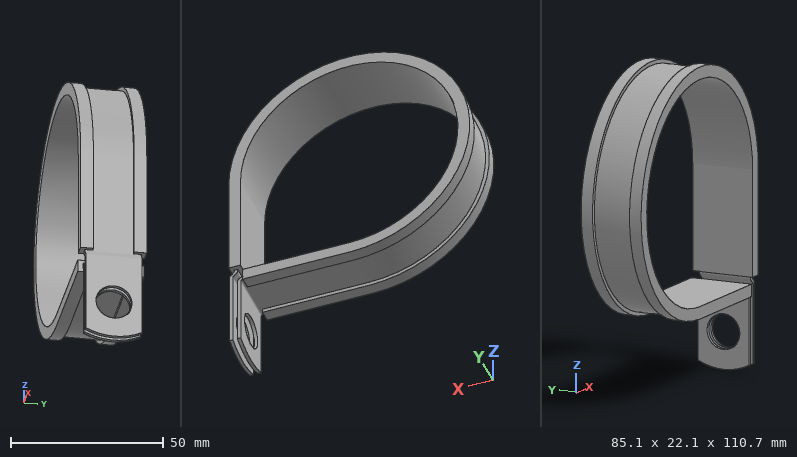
import cadquery as cq
import math

outer_radius = 42.4
cushion_thickness = 4.2
cushion_width = 22.1
right_leg_end_z = -36.1
bottom_leg_end_x = 37.4

groove_width = 13.6
groove_depth = 1.3

strap_thickness = 1.2
strap_width = 18.8
tab_bottom_z = -68.3
inner_tab_outer_x = 39.9
outer_tab_outer_x = 42.7
bend_inner_radius = 0.7
jog_start_z = -36.7
jog_bend_radius = 0.5
jog_angle = 45.0

hole_diameter = 12.0
hole_z = tab_bottom_z + 12.7
tab_end_sagitta = 2.2

strap_outer_radius = outer_radius - groove_depth
strap_inner_radius = strap_outer_radius - strap_thickness


def plate(profile, width):
    """Extrude an XZ profile symmetrically about Y = 0."""
    return profile.extrude(width / 2, both=True)


def band(outer, thickness, width):
    """Three-quarter ring with a leg down the right and a leg along the bottom."""
    inner = outer - thickness
    diagonal = math.sqrt(0.5)
    profile = (
        cq.Workplane("XZ")
        .moveTo(outer, right_leg_end_z)
        .lineTo(outer, 0)
        .threePointArc((-outer * diagonal, outer * diagonal), (0, -outer))
        .lineTo(bottom_leg_end_x, -outer)
        .lineTo(bottom_leg_end_x, -inner)
        .lineTo(0, -inner)
        .threePointArc((-inner * diagonal, inner * diagonal), (inner, 0))
        .lineTo(inner, right_leg_end_z)
        .close()
    )
    return plate(profile, width)


def inner_tab():
    """Tab that leaves the bottom leg and bends downwards."""
    outer_x = inner_tab_outer_x
    inner_x = outer_x - strap_thickness
    bend_outer_radius = bend_inner_radius + strap_thickness
    bend_x = inner_x - bend_inner_radius
    bend_z = -strap_outer_radius - bend_inner_radius
    profile = (
        cq.Workplane("XZ")
        .moveTo(bottom_leg_end_x, -strap_inner_radius)
        .lineTo(bend_x, -strap_inner_radius)
        .radiusArc((outer_x, bend_z), bend_outer_radius)
        .lineTo(outer_x, tab_bottom_z)
        .lineTo(inner_x, tab_bottom_z)
        .lineTo(inner_x, bend_z)
        .radiusArc((bend_x, -strap_outer_radius), -bend_inner_radius)
        .lineTo(bottom_leg_end_x, -strap_outer_radius)
        .close()
    )
    return plate(profile, strap_width)


def outer_tab():
    """Tab that leaves the right leg and jogs outwards."""
    outer_x = outer_tab_outer_x
    inner_x = outer_x - strap_thickness
    jog_end_z = jog_start_z - (outer_x - strap_outer_radius) / math.tan(math.radians(jog_angle))
    miter = strap_thickness * math.tan(math.radians(jog_angle / 2))
    profile = cq.Workplane("XZ").polyline([
        (strap_outer_radius, right_leg_end_z),
        (strap_outer_radius, jog_start_z),
        (outer_x, jog_end_z),
        (outer_x, tab_bottom_z),
        (inner_x, tab_bottom_z),
        (inner_x, jog_end_z - miter),
        (strap_inner_radius, jog_start_z - miter),
        (strap_inner_radius, right_leg_end_z),
    ]).close()
    tab = plate(profile, strap_width)
    margin = jog_bend_radius / 5
    jog_zone = cq.selectors.BoxSelector(
        (strap_inner_radius - margin, -strap_width, jog_end_z - miter - margin),
        (outer_x + margin, strap_width, jog_start_z + margin),
    )
    return tab.edges("|Y").edges(jog_zone).fillet(jog_bend_radius)


def tab_outline():
    """Solid along X with the arched lower end and bolt hole of both tabs."""
    half_width = strap_width / 2
    corner_z = tab_bottom_z + tab_end_sagitta
    depth = outer_radius + cushion_thickness
    outline = (
        cq.Workplane("YZ")
        .moveTo(-half_width, right_leg_end_z)
        .lineTo(-half_width, corner_z)
        .threePointArc((0, tab_bottom_z), (half_width, corner_z))
        .lineTo(half_width, right_leg_end_z)
        .close()
        .extrude(depth)
    )
    hole = (
        cq.Workplane("YZ")
        .center(0, hole_z)
        .circle(hole_diameter / 2)
        .extrude(depth)
    )
    return outline.cut(hole)


cushion = band(outer_radius, cushion_thickness, cushion_width)
groove = band(outer_radius, groove_depth, groove_width)
tabs = inner_tab().union(outer_tab()).intersect(tab_outline())
result = cushion.cut(groove).union(tabs)